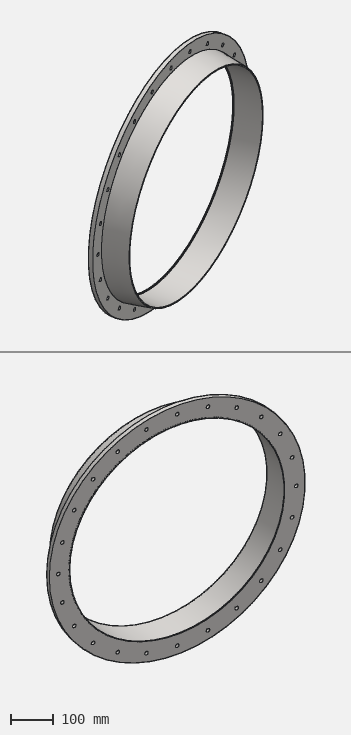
import cadquery as cq
import math

flange_diameter = 710
flange_thickness = 12
overall_length = 80
bore_diameter = 600

lip_diameter = 596
lip_thickness = 3

collar_end_diameter = 606
collar_taper_angle = 10

bolt_hole_diameter = 9.5
bolt_hole_count = 24
bolt_circle_diameter = 660

flange_radius = flange_diameter / 2
bore_radius = bore_diameter / 2
lip_radius = lip_diameter / 2
collar_end_radius = collar_end_diameter / 2
collar_length = overall_length - flange_thickness
collar_base_radius = collar_end_radius + collar_length * math.tan(math.radians(collar_taper_angle))


def make_ring():
    """Flange, tapered collar, bore and lip, revolved as one section about the X axis."""
    section = [
        (0, lip_radius),
        (0, flange_radius),
        (flange_thickness, flange_radius),
        (flange_thickness, collar_base_radius),
        (overall_length, collar_end_radius),
        (overall_length, bore_radius),
        (lip_thickness, bore_radius),
        (lip_thickness, lip_radius),
    ]
    return cq.Workplane("XY").polyline(section).close().revolve(360, (0, 0, 0), (1, 0, 0))


def make_bolt_holes():
    """Evenly spaced cylinders on the bolt circle, as long as the flange is thick."""
    return (
        cq.Workplane("YZ")
        .polarArray(bolt_circle_diameter / 2, 0, 360, bolt_hole_count)
        .circle(bolt_hole_diameter / 2)
        .extrude(flange_thickness)
    )


result = make_ring().cut(make_bolt_holes())